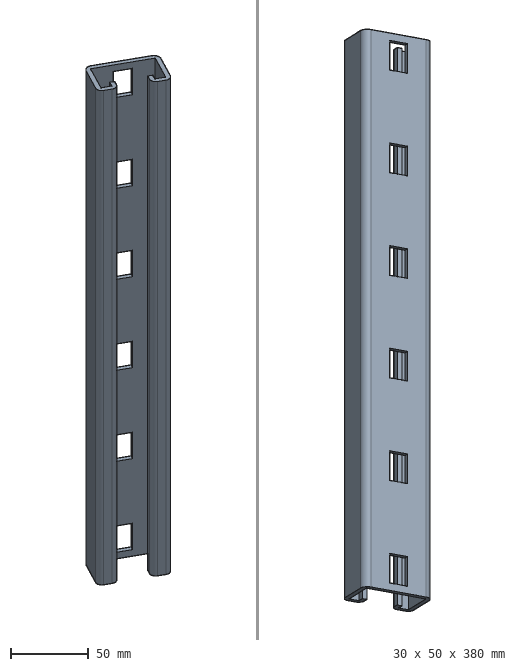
import cadquery as cq

length = 380.0
depth = 30.0
width = 50.0

wall = 3.5
web_radius = 5.0
front_radius = 4.0
flange_width = 14.0
lip_length = 8.0
mouth_width = width - 2 * flange_width

slot_count = 6
slot_width = 13.0
slot_height = 20.0
slot_pitch = 70.0


def centred_box(x_min, x_max, size_y):
    """Full-length box between two X positions, symmetric about Y."""
    return cq.Workplane("XY").box(x_max - x_min, size_y, length).translate(
        ((x_min + x_max) / 2, 0, 0)
    )


def make_channel():
    """C-shaped channel with sharp bends inside and the lips turned inward."""
    body = centred_box(0, depth, width)
    cavity = centred_box(wall, depth - wall, width - 2 * wall)
    lip_span = mouth_width + 2 * wall
    lips = centred_box(depth - lip_length, depth - wall, lip_span)
    mouth = centred_box(depth - lip_length, depth, mouth_width)
    return body.cut(cavity).union(lips).cut(mouth)


def round_outer_bends(channel):
    """Round the four outer corners and the two bends beside the mouth."""
    web_corners = [(0, side * width / 2) for side in (-1, 1)]
    front_bends = [(depth, side * y) for side in (-1, 1) for y in (width / 2, mouth_width / 2)]
    for corners, radius in ((web_corners, web_radius), (front_bends, front_radius)):
        for x, y in corners:
            selector = cq.selectors.NearestToPointSelector((x, y, 0))
            channel = channel.edges("|Z").edges(selector).fillet(radius)
    return channel


def make_slots():
    """Cutters for the slots, centred along the length of the web."""
    return (
        cq.Workplane("YZ")
        .rarray(3.8, slot_pitch, 1, slot_count)
        .rect(slot_width, slot_height)
        .extrude(wall)
    )


result = round_outer_bends(make_channel()).cut(make_slots())